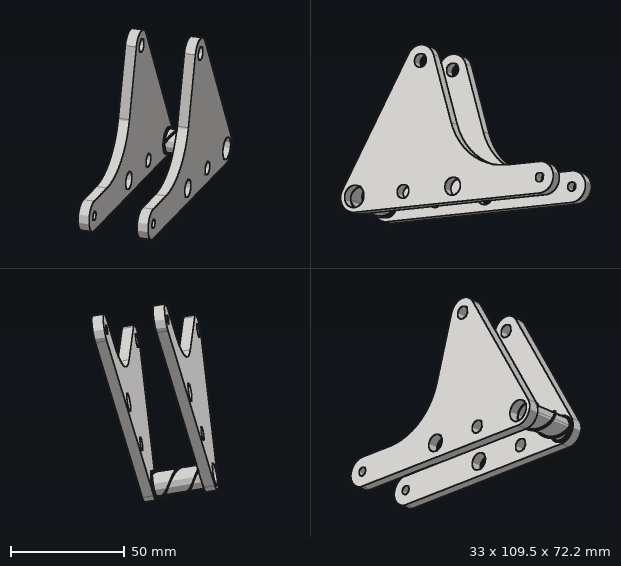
import cadquery as cq
import math

total_width = 33.0
plate_thickness = 5.3
gap = total_width - 2 * plate_thickness

corner_radius = 7.1
total_length = 109.5
total_height = 72.2
arm_y = -(total_length - 2 * corner_radius)
apex_y = -33.9
apex_z = total_height - 2 * corner_radius
throat_radius = 29.9
throat_y = -78.5
throat_z = corner_radius + throat_radius

spacer_bore = 10.0
apex_hole = 6.0
rear_hole = 6.0
rear_hole_y = -25.1
middle_hole = 8.0
middle_hole_y = -50.6
arm_hole = 4.0

tube_diameter = 10.8
rib_diameter = 12.4
collar_thickness = 0.7
rib_width = 0.7
rib_count = 2
rib_twist = 360.0


def polar(center, radius, angle):
    """Point on a circle, with the angle in radians from +Y towards +Z."""
    return (center[0] + radius * math.cos(angle), center[1] + radius * math.sin(angle))


def plate_outline():
    """Closed outline of rounded corners, tangent straight edges and a concave throat."""
    spacer = (0.0, 0.0)
    apex = (apex_y, apex_z)
    arm = (arm_y, 0.0)
    throat = (throat_y, throat_z)

    slope_normal = math.atan2(apex_z, apex_y) - math.pi / 2
    to_throat = math.atan2(throat_z - apex_z, throat_y - apex_y) % (2 * math.pi)
    center_distance = math.hypot(throat_y - apex_y, throat_z - apex_z)
    front_normal = to_throat - math.acos((corner_radius + throat_radius) / center_distance)

    up = math.pi / 2
    down = -math.pi / 2
    throat_start = front_normal - math.pi
    return (
        cq.Workplane("YZ")
        .moveTo(*polar(spacer, corner_radius, down))
        .threePointArc(
            polar(spacer, corner_radius, (down + slope_normal) / 2),
            polar(spacer, corner_radius, slope_normal),
        )
        .lineTo(*polar(apex, corner_radius, slope_normal))
        .threePointArc(
            polar(apex, corner_radius, (slope_normal + front_normal) / 2),
            polar(apex, corner_radius, front_normal),
        )
        .lineTo(*polar(throat, throat_radius, throat_start))
        .threePointArc(
            polar(throat, throat_radius, (throat_start + down) / 2),
            polar(throat, throat_radius, down),
        )
        .lineTo(*polar(arm, corner_radius, up))
        .threePointArc(polar(arm, corner_radius, math.pi), polar(arm, corner_radius, down))
        .close()
    )


def make_plate(start_x):
    """One side plate whose -X face lies at start_x."""
    plate = plate_outline().extrude(plate_thickness)
    holes = [
        (0.0, 0.0, spacer_bore),
        (apex_y, apex_z, apex_hole),
        (rear_hole_y, 0.0, rear_hole),
        (middle_hole_y, 0.0, middle_hole),
        (arm_y, 0.0, arm_hole),
    ]
    for y, z, diameter in holes:
        cutter = cq.Workplane("YZ").center(y, z).circle(diameter / 2).extrude(plate_thickness)
        plate = plate.cut(cutter)
    return plate.translate((start_x, 0, 0))


def make_rib(start_angle):
    """Helical rib, rooted midway through the tube wall and trimmed to the rib diameter."""
    root_radius = (spacer_bore + tube_diameter) / 4
    crest_radius = rib_diameter / 2
    half_angle = rib_width / rib_diameter
    center = (0.0, 0.0)
    return (
        cq.Workplane("YZ")
        .moveTo(*polar(center, root_radius, start_angle - half_angle))
        .lineTo(*polar(center, crest_radius, start_angle - half_angle))
        .threePointArc(
            polar(center, crest_radius, start_angle),
            polar(center, crest_radius, start_angle + half_angle),
        )
        .lineTo(*polar(center, root_radius, start_angle + half_angle))
        .threePointArc(
            polar(center, root_radius, start_angle),
            polar(center, root_radius, start_angle - half_angle),
        )
        .close()
        .twistExtrude(gap, -rib_twist)
    )


def make_spacer():
    """Ribbed tube that fills the gap between the plates."""
    spacer = cq.Workplane("YZ").circle(tube_diameter / 2).circle(spacer_bore / 2).extrude(gap)
    collar = cq.Workplane("YZ").circle(rib_diameter / 2).circle(spacer_bore / 2).extrude(collar_thickness)
    spacer = spacer.union(collar)
    for index in range(rib_count):
        spacer = spacer.union(make_rib(index * 2 * math.pi / rib_count))
    return spacer.translate((plate_thickness, 0, 0))


plates = [make_plate(start_x) for start_x in (0.0, plate_thickness + gap)]
spacer = make_spacer()

result = cq.Compound.makeCompound([*[plate.val() for plate in plates], spacer.solids().val()])